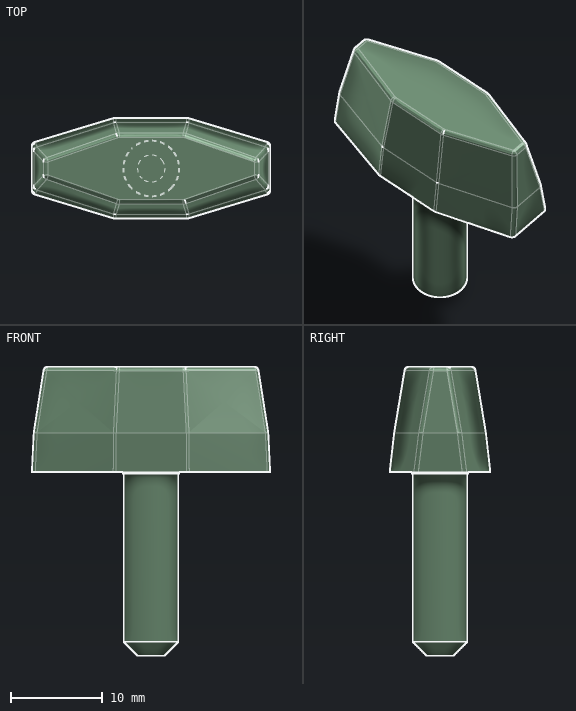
import cadquery as cq

total_height = 31.5
pin_diameter = 6.0
tip_chamfer = 1.5
collar_height = 0.2
collar_overhang = 0.1

head_height = 11.5
lower_stage_height = 4.3
head_bottom = total_height - head_height
stage_line = head_bottom + lower_stage_height

bottom_outline = (12.995, 5.497, 4.0, 2.77)
stage_outline = (12.8, 5.0, 3.97, 2.25)
top_outline = (11.65, 3.8, 3.62, 1.0)

end_edge_radius = 0.5
side_edge_radius = 1.0
top_edge_radius = 0.5


def outline_wire(outline, height):
    """Closed eight-sided outline, symmetric about X and Y, at one height."""
    half_length, half_width, side_flat, end_flat = outline
    corners = [
        (side_flat, half_width),
        (half_length, end_flat),
        (half_length, -end_flat),
        (side_flat, -half_width),
        (-side_flat, -half_width),
        (-half_length, -end_flat),
        (-half_length, end_flat),
        (-side_flat, half_width),
    ]
    return cq.Wire.makePolygon([cq.Vector(x, y, height) for x, y in corners], close=True)


def upright_edges(head, at_ends):
    """Corner edges running up the head: those at its ends, or those of the long sides."""
    middle_x = (top_outline[0] + bottom_outline[2]) / 2
    edges = []
    for edge in head.Edges():
        box = edge.BoundingBox()
        is_upright = box.zlen > lower_stage_height / 2
        if is_upright and (abs(edge.Center().x) > middle_x) == at_ends:
            edges.append(edge)
    return edges


def make_head():
    head = cq.Solid.makeLoft(
        [
            outline_wire(bottom_outline, head_bottom),
            outline_wire(stage_outline, stage_line),
            outline_wire(top_outline, total_height),
        ],
        True,
    )
    head = head.fillet(side_edge_radius, upright_edges(head, at_ends=False))
    head = head.fillet(end_edge_radius, upright_edges(head, at_ends=True))
    return cq.Workplane(obj=head).faces(">Z").edges().fillet(top_edge_radius)


def make_pin():
    pin = cq.Workplane("XY").circle(pin_diameter / 2).extrude(head_bottom)
    pin = pin.faces("<Z").chamfer(tip_chamfer)
    collar = (
        cq.Workplane("XY", origin=(0, 0, head_bottom - collar_height))
        .circle(pin_diameter / 2 + collar_overhang)
        .extrude(collar_height)
    )
    return pin.union(collar)


result = make_head().union(make_pin())